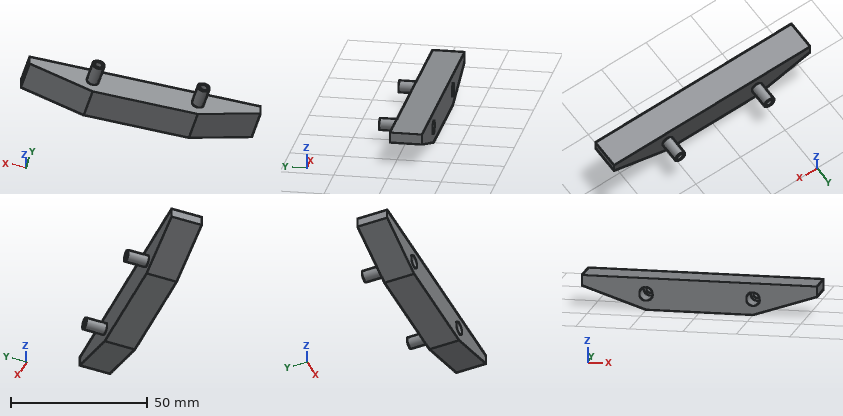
import cadquery as cq

length = 88.0
bar_depth = 12.0
bar_height = 12.0
end_height = 4.0
flat_length = 40.0

pin_spacing = flat_length
total_depth = 20.0
pin_diameter = 4.5
hole_diameter = 3.0
counterbore_diameter = 5.0
counterbore_depth = 8.0

pin_length = total_depth - bar_depth
top = bar_height / 2
bottom = -top
taper_top = top - end_height
pin_centers = [(-pin_spacing / 2, 0), (pin_spacing / 2, 0)]


def cylinders(diameter, start_y, depth):
    """Cylinders at both pin positions, running from start_y towards +Y."""
    plane = cq.Workplane("XZ", origin=(0, start_y, 0))
    return plane.pushPoints(pin_centers).circle(diameter / 2).extrude(-depth)


bar = (
    cq.Workplane("XZ")
    .moveTo(-length / 2, top)
    .lineTo(length / 2, top)
    .lineTo(length / 2, taper_top)
    .lineTo(flat_length / 2, bottom)
    .lineTo(-flat_length / 2, bottom)
    .lineTo(-length / 2, taper_top)
    .close()
    .extrude(-bar_depth)
)

pins = cylinders(pin_diameter, bar_depth, pin_length)
through_holes = cylinders(hole_diameter, 0, total_depth)
counterbores = cylinders(counterbore_diameter, 0, counterbore_depth)

result = bar.union(pins).cut(through_holes).cut(counterbores)